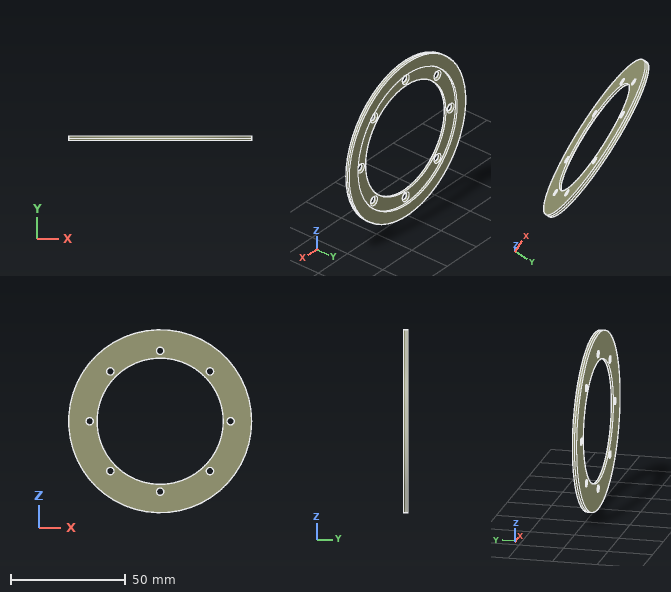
import cadquery as cq

outer_diameter = 80.0
ring_thickness = 1.0

flange_bore_diameter = 55.0
hole_circle_diameter = 61.5
hole_diameter = 3.1
hole_count = 8
countersink_depth = 0.75
countersink_half_angle = 45
countersink_diameter = hole_diameter + 2 * countersink_depth

rim_bore_diameter = 68.0

toward_front = ring_thickness
toward_back = -ring_thickness


def flat_ring(bore_diameter, extrusion):
    """Flat ring with the shared outer diameter, starting at the meeting plane."""
    return (
        cq.Workplane("XZ")
        .circle(outer_diameter / 2)
        .circle(bore_diameter / 2)
        .extrude(extrusion)
    )


def hole_centers():
    """Evenly spaced points on the hole circle, in the meeting plane."""
    return cq.Workplane("XZ").polarArray(hole_circle_diameter / 2, 0, 360, hole_count)


through_holes = hole_centers().circle(hole_diameter / 2).extrude(toward_front)
countersinks = (
    hole_centers()
    .circle(countersink_diameter / 2)
    .extrude(countersink_depth, taper=countersink_half_angle)
)
flange = flat_ring(flange_bore_diameter, toward_front).cut(through_holes).cut(countersinks)

rim = flat_ring(rim_bore_diameter, toward_back)

result = cq.Compound.makeCompound([flange.solids().val(), rim.val()])